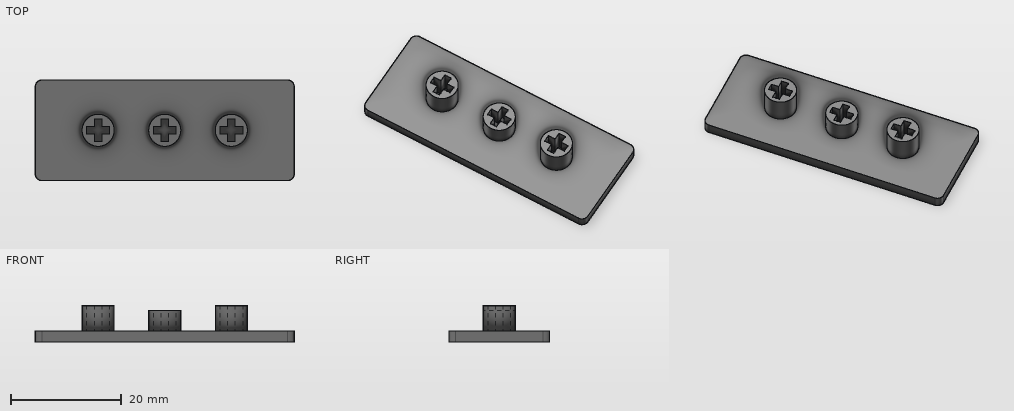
import cadquery as cq

plate_length = 46.75
plate_width = 18.2
plate_thickness = 2.0
corner_radius = 1.2

stem_diameter = 5.8
stem_spacing = 12.0
overall_height = 6.6
outer_stem_height = overall_height - plate_thickness
middle_stem_drop = 0.9
middle_stem_height = outer_stem_height - middle_stem_drop

cross_span = 4.1
cross_arm_width = 1.3


def make_plate():
    plate = cq.Workplane("XY").box(plate_length, plate_width, plate_thickness, centered=(True, True, False))
    return plate.edges("|Z").fillet(corner_radius)


def make_stem(x, height):
    """Round stem on the plate at the given X, with its cross socket cut through to the plate."""
    base = cq.Workplane("XY", origin=(x, 0, plate_thickness))
    stem = base.circle(stem_diameter / 2).extrude(height)
    arm_along_x = base.rect(cross_span, cross_arm_width).extrude(height)
    arm_along_y = base.rect(cross_arm_width, cross_span).extrude(height)
    return stem.cut(arm_along_x).cut(arm_along_y)


result = make_plate()
for x, height in (
    (-stem_spacing, outer_stem_height),
    (0, middle_stem_height),
    (stem_spacing, outer_stem_height),
):
    result = result.union(make_stem(x, height))